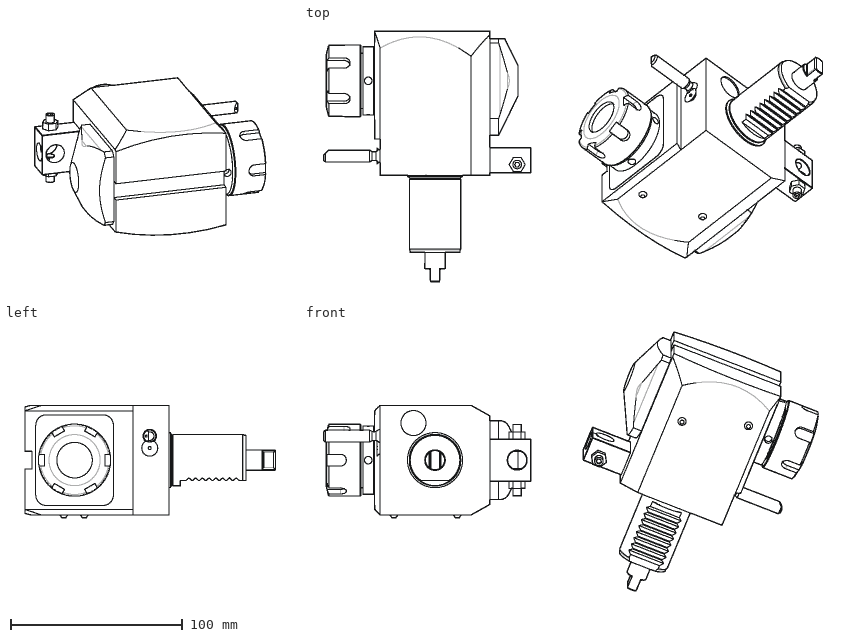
import cadquery as cq
import math


body_half = 32.0
body_length = 84.0
plate_x = -35.2
plate_front_y = 21.0
plate_chamfer = -plate_x - body_half
side_chamfer_x = 11.0
side_chamfer_z = 6.1
crown_x = -9.0
crown_top_z = 31.1
crown_radius = 147.5
crown_angle = 15.0
notch_width = 10.2
notch_depth = 4.1
recess_x = -12.5
recess_z = 21.6
recess_radius = 7.3
recess_depth = 0.9

spindle_y = 55.0
panel_width = 45.3
panel_height = 52.9
panel_corner = 6.1
panel_raise = 0.1
nut_face_x = -63.5
nut_back_x = -43.2
nut_radius = 21.0
nut_face_radius = 14.9
nut_cone_x = -62.3
nut_cone_radius = 20.0
nut_rim_x = -61.8
nut_back_chamfer = 0.5
bore_radius = 10.4
bore_depth = 2.2
neck_radius = 16.2
ring_front_x = -42.0
ring_back_x = -35.8
ring_radius = 20.0
ring_hole_count = 4
ring_hole_radius = 2.2
ring_hole_depth = 4.4
slot_count = 6
slot_width = 6.9
slot_floor_radius = 17.7
long_slot_end_x = -49.5
short_slot_end_x = -51.7

shank_radius = 15.0
shank_end_y = -45.0
shank_step = 0.3
lead_start_y = -42.9
collar_radius = 16.0
collar_edge_y = -0.7
relief_start_y = -1.5
relief_end_y = -2.0
rack_flat_z = -12.0
rack_start_y = -6.5
tooth_count = 8
tooth_pitch = 4.0
first_tooth_y = -11.5
tooth_depth = 1.6
tooth_half_width = 1.8
drive_radius = 6.0
drive_shoulder_y = -54.6
drive_end_y = -62.0
tang_thickness = 5.8
drive_chamfer = 0.5
tang_root = 0.6
tang_bevel = 0.5
tang_tip_length = 1.2
tang_flat_half = 4.4

cover_radius = 31.8
cover_rim_x = 37.1
cover_end_x = 48.5
cover_end_radius = 8.8
cover_back_y = 79.5
cover_half_height = 23.0
cover_flat_end_x = 38.0
cover_round_radius = 5.3
cover_round_angle = 57.0

bracket_end_x = 55.9
bracket_front_y = 1.5
bracket_back_y = 16.2
bracket_half_height = 12.4
bracket_chamfer = 0.3
bracket_hole_x = 47.9
bracket_hole_radius = 5.5
side_bore_y = 10.7
side_bore_radius = 5.3
screw_y = 6.3
screw_radius = 2.5
screw_end_z = 20.9
nut_flats = 8.0
nut_end_z = 16.5
socket_flats = 2.6
socket_depth = 1.5
screw_tip_z = 5.0

pipe_y = 11.2
pipe_z = 14.0
pipe_end_x = -65.0
pipe_radius = 3.5
pipe_chamfer = 1.0
pipe_shoulder_x = -38.1
pipe_neck_x = -36.6
pipe_neck_radius = 2.6
pipe_ball_radius = 4.0
pipe_ball_x = -31.4
bevel_reach = 2.9
jet_radius = 0.6
jet_depth = 1.5
plug_z = 7.0
plug_face_x = -33.7
plug_radius = 4.7
plug_hole_radius = 0.9
plug_hole_depth = 1.2

button_places = [(-24.0, 61.3), (13.0, 49.3)]
button_radius = 2.3
button_top_radius = 1.2
button_height = 1.6

overlap = 1.5


def box(x_range, y_range, z_range):
    """Box between the given limits."""
    size = [high - low for low, high in (x_range, y_range, z_range)]
    return cq.Workplane("XY").box(*size, centered=False).translate((x_range[0], y_range[0], z_range[0]))


def turned_x(profile, y, z):
    """Solid of (x, radius) points turned about an X-parallel axis."""
    outline = [(x, y + radius) for x, radius in profile]
    outline = [(profile[0][0], y)] + outline + [(profile[-1][0], y)]
    return cq.Workplane("XY", origin=(0, 0, z)).polyline(outline).close().revolve(360, (0, y), (1, y))


def turned_y(profile, x, z):
    """Solid of (y, radius) points turned about a Y-parallel axis."""
    outline = [(x + radius, y) for y, radius in profile]
    outline = [(x, profile[0][0])] + outline + [(x, profile[-1][0])]
    return cq.Workplane("XY", origin=(0, 0, z)).polyline(outline).close().revolve(360, (x, 0), (x, 1))


def upright_prism(outline, y_low, y_high):
    """Prism of an (x, z) outline between two Y positions."""
    return cq.Workplane("XZ", origin=(0, y_high, 0)).polyline(outline).close().extrude(y_high - y_low)


def make_body():
    shoulder_x = body_half - side_chamfer_x
    shoulder_z = body_half - side_chamfer_z
    right_side = [(shoulder_x, -body_half), (body_half, -shoulder_z),
                  (body_half, shoulder_z), (shoulder_x, body_half)]
    front_outline = [(-body_half, -body_half)] + right_side + [(-body_half, body_half)]
    edge_z = body_half - plate_chamfer
    plate_outline = ([(-body_half, -body_half)] + right_side
                     + [(-body_half, body_half), (plate_x, edge_z), (plate_x, -edge_z)])
    body = upright_prism(front_outline, 0, plate_front_y)
    body = body.union(upright_prism(plate_outline, plate_front_y, body_length))

    slope = math.tan(math.radians(crown_angle))
    crown_profile = [(0, crown_radius + body_length * slope), (body_length, crown_radius)]
    crown_axis_z = crown_top_z - crown_radius
    for axis_z in (crown_axis_z, -crown_axis_z):
        body = body.intersect(turned_y(crown_profile, crown_x, axis_z))

    notch = box((plate_x, body_half), (body_length - notch_depth, body_length),
                (-notch_width / 2, notch_width / 2))
    recess = turned_y([(0, recess_radius), (recess_depth, recess_radius)], recess_x, recess_z)
    return body.cut(notch).cut(recess)


def make_panel():
    x_range = (plate_x - panel_raise, plate_x + overlap)
    y_range = (spindle_y - panel_width / 2, spindle_y + panel_width / 2)
    z_range = (-panel_height / 2, panel_height / 2)
    return box(x_range, y_range, z_range).edges("|X").fillet(panel_corner)


def make_spindle():
    nose = turned_x([
        (nut_face_x, nut_face_radius),
        (nut_cone_x, nut_cone_radius),
        (nut_rim_x, nut_radius),
        (nut_back_x - nut_back_chamfer, nut_radius),
        (nut_back_x, nut_radius - nut_back_chamfer),
        (nut_back_x, neck_radius),
        (ring_front_x, neck_radius),
        (ring_front_x, ring_radius),
        (ring_back_x, ring_radius),
        (ring_back_x, neck_radius),
        (plate_x + overlap, neck_radius),
    ], spindle_y, 0)
    bore = turned_x([(nut_face_x, bore_radius), (nut_face_x + bore_depth, bore_radius)], spindle_y, 0)
    nose = nose.cut(bore)

    for index in range(slot_count):
        angle = 360 / slot_count * index
        is_upper = 0 < angle < 180
        nose = nose.cut(make_slot(long_slot_end_x if is_upper else short_slot_end_x, angle))

    hole_x = (ring_front_x + ring_back_x) / 2
    for index in range(ring_hole_count):
        hole = (cq.Workplane("XZ", origin=(hole_x, spindle_y - ring_radius + ring_hole_depth, 0))
                .circle(ring_hole_radius).extrude(ring_hole_depth + overlap))
        nose = nose.cut(about_spindle(hole, 360 / ring_hole_count * index))
    return nose


def about_spindle(piece, angle):
    """Piece swung about the spindle axis."""
    return piece.rotate((0, spindle_y, 0), (1, spindle_y, 0), angle)


def make_slot(end_x, angle):
    """Wrench slot cutter with a round end, swung from the +Y side."""
    half_width = slot_width / 2
    start_x = nut_face_x - overlap
    straight_end_x = end_x - half_width
    depth = nut_radius - slot_floor_radius + overlap
    cutter = (cq.Workplane("XZ", origin=(0, spindle_y + nut_radius + overlap, 0))
              .moveTo(start_x, -half_width).lineTo(straight_end_x, -half_width)
              .threePointArc((end_x, 0), (straight_end_x, half_width))
              .lineTo(start_x, half_width).close().extrude(depth))
    return about_spindle(cutter, angle)


def make_shank():
    shank = turned_y([
        (overlap, collar_radius),
        (collar_edge_y, collar_radius),
        (relief_start_y, shank_radius - shank_step),
        (relief_end_y, shank_radius - shank_step),
        (relief_end_y - shank_step, shank_radius),
        (lead_start_y, shank_radius),
        (lead_start_y - 2 * shank_step, shank_radius - shank_step),
        (shank_end_y, shank_radius - 2 * shank_step),
    ], 0, 0)
    rack_flat = box((-shank_radius, shank_radius), (shank_end_y, rack_start_y),
                    (-shank_radius - overlap, rack_flat_z))
    shank = shank.cut(rack_flat)
    for index in range(tooth_count):
        root_y = first_tooth_y - index * tooth_pitch
        groove = (cq.Workplane("YZ", origin=(-shank_radius, 0, 0))
                  .polyline([(root_y - tooth_half_width, rack_flat_z),
                             (root_y, rack_flat_z + tooth_depth),
                             (root_y + tooth_half_width, rack_flat_z)])
                  .close().extrude(2 * shank_radius))
        shank = shank.cut(groove)
    return shank


def make_drive():
    shaft = turned_y([
        (shank_end_y + overlap, drive_radius),
        (drive_shoulder_y + drive_chamfer, drive_radius),
        (drive_shoulder_y, drive_radius - drive_chamfer),
    ], 0, 0)
    tang = turned_y([
        (shank_end_y, drive_radius),
        (drive_end_y + drive_chamfer, drive_radius),
        (drive_end_y, drive_radius - drive_chamfer),
    ], 0, 0)

    half = tang_thickness / 2
    root_y = drive_shoulder_y - tang_root
    one_side = [(half + tang_root, shank_end_y), (half + tang_root, drive_shoulder_y), (half, root_y),
                (half, drive_end_y + tang_tip_length), (half - tang_bevel, drive_end_y)]
    plan = cq.Workplane("XY", origin=(0, 0, -drive_radius)).polyline(with_mirror(one_side)).close()
    tang = tang.intersect(plan.extrude(2 * drive_radius))

    outer = half + tang_root
    bevel_side = [(half - tang_bevel, drive_radius), (half, tang_flat_half), (outer, tang_flat_half),
                  (outer, -tang_flat_half), (half, -tang_flat_half), (half - tang_bevel, -drive_radius)]
    section = upright_prism(with_mirror(bevel_side), drive_end_y, shank_end_y)
    return shaft.union(tang.intersect(section))


def with_mirror(points):
    """Outline of the given right-side points and their mirror images across X = 0."""
    return points + [(-x, other) for x, other in reversed(points)]


def make_cover():
    cover = turned_x([
        (body_half - overlap, cover_radius),
        (cover_rim_x, cover_radius),
        (cover_end_x, cover_end_radius),
    ], spindle_y, 0)

    def round_point(degrees):
        turn = math.radians(degrees)
        return (cover_flat_end_x + cover_round_radius * math.sin(turn),
                cover_half_height - cover_round_radius * (1 - math.cos(turn)))

    round_middle = round_point(cover_round_angle / 2)
    round_end = round_point(cover_round_angle)
    slope_end = (cover_end_x, round_end[1] - (cover_end_x - round_end[0])
                 * math.tan(math.radians(cover_round_angle)))
    start_x = body_half - overlap
    upper_half = (cq.Workplane("XZ", origin=(0, cover_back_y, 0))
                  .moveTo(start_x, 0).lineTo(start_x, cover_half_height)
                  .lineTo(cover_flat_end_x, cover_half_height)
                  .threePointArc(round_middle, round_end)
                  .lineTo(*slope_end).lineTo(cover_end_x, 0).close()
                  .extrude(cover_back_y - spindle_y + cover_radius))
    return cover.intersect(upper_half.union(upper_half.mirror("XY")))


def make_bracket():
    bracket = box((body_half - overlap, bracket_end_x), (bracket_front_y, bracket_back_y),
                  (-bracket_half_height, bracket_half_height)).edges().chamfer(bracket_chamfer)
    hole = turned_y([
        (bracket_front_y, bracket_hole_radius + bracket_chamfer),
        (bracket_front_y + bracket_chamfer, bracket_hole_radius),
        (bracket_back_y, bracket_hole_radius),
    ], bracket_hole_x, 0)
    side_bore = turned_x([(bracket_hole_x, side_bore_radius), (bracket_end_x, side_bore_radius)],
                         side_bore_y, 0)
    screw = make_screw()
    return bracket.cut(hole).cut(side_bore).union(screw).union(screw.mirror("XY"))


def hexagon_diameter(flats):
    """Corner diameter of a hexagon with the given width across flats."""
    return flats / math.cos(math.radians(30))


def make_screw():
    """Set screw with its lock nut above the bracket."""
    base = cq.Workplane("XY", origin=(bracket_hole_x, screw_y, bracket_half_height - overlap))
    nut = base.polygon(6, hexagon_diameter(nut_flats)).extrude(nut_end_z - bracket_half_height + overlap)
    stud = (cq.Workplane("XY", origin=(bracket_hole_x, screw_y, screw_tip_z))
            .circle(screw_radius).extrude(screw_end_z - screw_tip_z))
    socket = (cq.Workplane("XY", origin=(bracket_hole_x, screw_y, screw_end_z - socket_depth))
              .polygon(6, hexagon_diameter(socket_flats)).extrude(socket_depth))
    return nut.union(stud).cut(socket)


def make_pipe():
    pipe = turned_x([
        (pipe_end_x, pipe_radius - pipe_chamfer),
        (pipe_end_x + pipe_chamfer, pipe_radius),
        (pipe_shoulder_x, pipe_radius),
        (pipe_neck_x, pipe_neck_radius),
        (pipe_ball_x, pipe_neck_radius),
    ], pipe_y, pipe_z)
    bevel = (cq.Workplane("XY", origin=(0, 0, pipe_z - pipe_radius))
             .polyline([(pipe_end_x, pipe_y + pipe_radius - bevel_reach),
                        (pipe_end_x, pipe_y + pipe_radius),
                        (pipe_end_x + bevel_reach, pipe_y + pipe_radius)])
             .close().extrude(2 * pipe_radius))
    ball = cq.Workplane("XY").sphere(pipe_ball_radius).translate((pipe_ball_x, pipe_y, pipe_z))
    jet_center = (pipe_end_x + bevel_reach / 2, pipe_y + pipe_radius - bevel_reach / 2, pipe_z)
    jet = (cq.Workplane(cq.Plane(jet_center, xDir=(0, 0, 1), normal=(1, -1, 0)))
           .circle(jet_radius).extrude(jet_depth))
    return pipe.cut(bevel).cut(jet).union(ball)


def make_plug():
    """Plug whose 45 degree flank narrows toward the body."""
    depth = -plug_face_x - body_half
    plug = turned_x([
        (plug_face_x, plug_radius),
        (-body_half, plug_radius - depth),
        (-body_half + overlap, plug_radius - depth),
    ], pipe_y, plug_z)
    hole = turned_x([
        (plug_face_x, plug_hole_radius),
        (plug_face_x + plug_hole_depth, plug_hole_radius),
    ], pipe_y, plug_z)
    return plug.cut(hole)


def make_button(x, y):
    """Tapered screw head below the body."""
    head_top_z = -body_half + overlap
    head = (cq.Workplane("XZ")
            .moveTo(0, head_top_z).lineTo(button_radius, head_top_z).lineTo(button_radius, -body_half)
            .lineTo(button_top_radius, -body_half - button_height)
            .lineTo(0, -body_half - button_height).close().revolve(360, (0, 0), (0, 1)))
    return head.translate((x, y, 0))


result = make_body()
for attached in (make_panel(), make_spindle(), make_shank(), make_drive(), make_cover(),
                 make_bracket(), make_pipe(), make_plug()):
    result = result.union(attached)
for button_x, button_y in button_places:
    result = result.union(make_button(button_x, button_y))